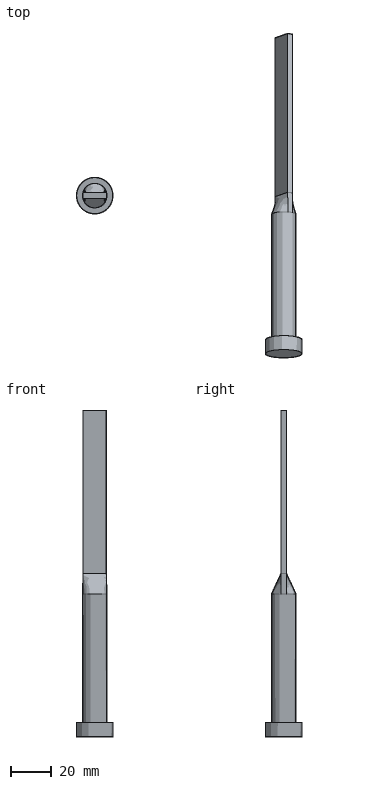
import cadquery as cq
import math

total_length = 160.0
head_diameter = 18.0
head_height = 7.0
shaft_diameter = 12.0
blade_length = 80.0
blade_width = 11.5
blade_thickness = 2.9
transition_length = 10.0

blade_start = total_length - blade_length
shaft_top = blade_start - transition_length


def make_head():
    return cq.Workplane("XY").circle(head_diameter / 2).extrude(head_height)


def make_shaft():
    return cq.Workplane("XY").circle(shaft_diameter / 2).extrude(shaft_top)


def make_transition():
    """Loft the round shaft into the blade, keeping its narrow sides as wide as the blade thickness."""
    shaft_radius = shaft_diameter / 2
    half_width = blade_width / 2
    half_thickness = blade_thickness / 2
    split_x = math.sqrt(shaft_radius**2 - half_thickness**2)
    return (
        cq.Workplane("XY", origin=(0, 0, shaft_top))
        .moveTo(-split_x, -half_thickness)
        .threePointArc((0, -shaft_radius), (split_x, -half_thickness))
        .threePointArc((shaft_radius, 0), (split_x, half_thickness))
        .threePointArc((0, shaft_radius), (-split_x, half_thickness))
        .threePointArc((-shaft_radius, 0), (-split_x, -half_thickness))
        .close()
        .workplane(offset=transition_length, origin=(0, 0, shaft_top))
        .moveTo(-half_width, -half_thickness)
        .lineTo(half_width, -half_thickness)
        .lineTo(half_width, half_thickness)
        .lineTo(-half_width, half_thickness)
        .close()
        .loft(ruled=True)
    )


def make_blade():
    return (
        cq.Workplane("XY", origin=(0, 0, blade_start))
        .rect(blade_width, blade_thickness)
        .extrude(blade_length)
    )


result = make_head().union(make_shaft()).union(make_transition()).union(make_blade())